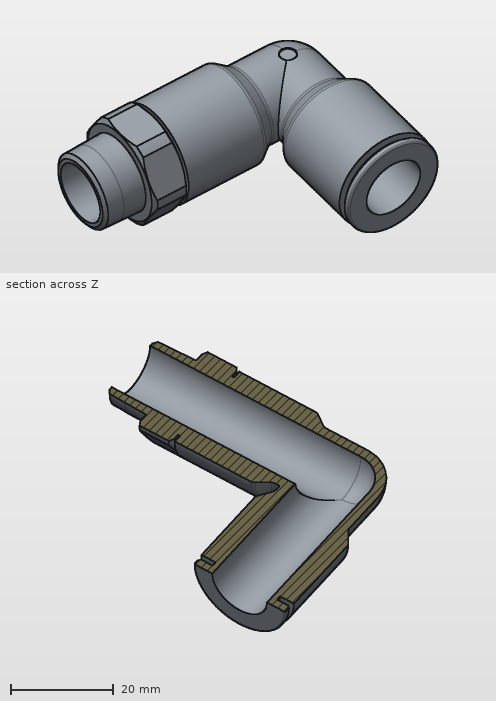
import cadquery as cq
import math


total_length = 61.0

body_diameter = 22.0
body_radius = body_diameter / 2
neck_radius = 8.7
neck_length = 10.25
cone_end = 13.5
body_length = 31.95
blend_radius = 1.2
bore_radius = 6.45

recess_radius = 1.75
recess_depth = 0.5

collar_neck_radius = 7.7
collar_start = 32.9
collar_end = 34.7
collar_radius = 10.85
collar_inner_chamfer = 0.55
collar_outer_fillet = 0.35

hex_start = 32.3
hex_end = 40.5
hex_across_flats = 21.2
hex_corner_radius = 11.6
hex_face_radius = 10.5
hex_chamfer_length = 0.6
hex_neck_radius = 9.2

stub_end = total_length - body_radius
stub_middle = 45.6
stub_base_radius = 8.55
stub_middle_radius = 8.35
stub_tip_radius = 8.25
stub_mouth_radius = 7.3
stub_chamfer_length = 0.7


def revolve_profile(points):
    """Solid of revolution about +X from (distance along the axis, radius) points."""
    first = points[0][0]
    last = points[-1][0]
    outline = [(first, 0)] + points + [(last, 0)]
    return cq.Workplane("XY").polyline(outline).close().revolve(360, (0, 0, 0), (1, 0, 0))


def along_minus_y(shape):
    """Turn a shape built along +X so that it runs along -Y."""
    return shape.rotate((0, 0, 0), (0, 0, 1), -90)


def cylinder_along_x(radius, start, end):
    return revolve_profile([(start, radius), (end, radius)])


def body_arm():
    arm = revolve_profile([
        (0, neck_radius),
        (neck_length, neck_radius),
        (cone_end, body_radius),
        (body_length, body_radius),
    ])
    rim_margin = blend_radius / 2
    cone_rims = cq.selectors.BoxSelector(
        (neck_length - rim_margin, -rim_margin, -rim_margin),
        (cone_end + rim_margin, rim_margin, rim_margin),
    )
    return arm.edges("%CIRCLE").edges(cone_rims).fillet(blend_radius)


def elbow():
    ball = cq.Workplane("XY").sphere(neck_radius)
    return body_arm().union(along_minus_y(body_arm())).union(ball)


def marking_recess():
    floor_height = neck_radius - recess_depth
    return cq.Workplane("XY").workplane(offset=floor_height).circle(recess_radius).extrude(neck_radius)


def release_collar():
    neck = cylinder_along_x(collar_neck_radius, body_length, collar_start)
    flange = cylinder_along_x(collar_radius, collar_start, collar_end)
    flange = flange.faces("<X").edges().chamfer(collar_inner_chamfer)
    flange = flange.faces(">X").edges().fillet(collar_outer_fillet)
    return neck.union(flange)


def hex_nut():
    """Hexagon with two flats facing +Z and -Z, its corners turned down and chamfered at both ends."""
    across_corners = hex_across_flats / math.cos(math.pi / 6)
    prism = (
        cq.Workplane("YZ")
        .workplane(offset=hex_start)
        .polygon(6, across_corners)
        .extrude(hex_end - hex_start)
    )
    turned = revolve_profile([
        (hex_start, hex_face_radius),
        (hex_start + hex_chamfer_length, hex_corner_radius),
        (hex_end - hex_chamfer_length, hex_corner_radius),
        (hex_end, hex_face_radius),
    ])
    neck = cylinder_along_x(hex_neck_radius, body_length, hex_start)
    return along_minus_y(prism.intersect(turned).union(neck))


def thread_stub():
    stub = revolve_profile([
        (hex_end, stub_base_radius),
        (stub_middle, stub_middle_radius),
        (stub_end - stub_chamfer_length, stub_tip_radius),
        (stub_end, stub_mouth_radius),
    ])
    return along_minus_y(stub)


def passage():
    """Right-angle bore through both ports with a spherical corner."""
    ball = cq.Workplane("XY").sphere(bore_radius)
    tube_side = cylinder_along_x(bore_radius, 0, collar_end)
    thread_side = along_minus_y(cylinder_along_x(bore_radius, 0, stub_end))
    return ball.union(tube_side).union(thread_side)


outside = elbow().union(release_collar()).union(hex_nut()).union(thread_stub())
result = outside.cut(passage()).cut(marking_recess())